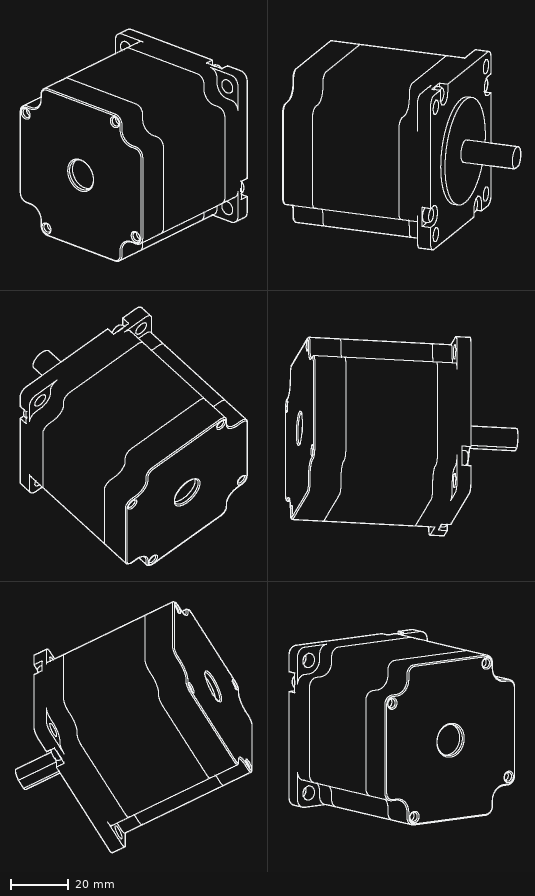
import cadquery as cq


total_length = 77.0
case_width = 57.0
case_length = 56.0
flange_thickness = 5.0
front_length = 11.9
rear_length = 11.5
flange_corner_radius = 3.1

shaft_diameter = 8.0
shaft_flat_depth = 0.5
pilot_diameter = 37.95
pilot_height = 1.6

mount_pitch = 47.1
mount_hole_diameter = 5.0

notch_radius = 4.8
lobe_radius = 3.1
rear_edge_chamfer = 0.5

recess_diameter = 11.1
recess_depth = 2.0
recess_chamfer = 0.5

screw_x = 15.9
screw_z = 25.6
screw_diameter = 3.15
screw_tip_recess = 2.3
head_base_radius = 2.6
head_bulge_radius = 2.8
head_top_radius = 2.3
head_height = 2.15
screw_hole_chamfer = 0.5
pocket_width = 7.0
pocket_depth = 3.15

half_width = case_width / 2
stack_length = case_length - front_length - rear_length
shaft_length = total_length - case_length
notch_center = mount_pitch / 2
notch_wall = notch_center - notch_radius


def turned(x, z, quarter):
    """Point (x, z) turned about the shaft axis by a number of quarter turns."""
    for _ in range(quarter):
        x, z = -z, x
    return x, z


screw_points = [turned(screw_x, screw_z, quarter) for quarter in range(4)]


def plane_at(depth):
    """Workplane at a depth behind the mounting face; extrusions run toward the rear."""
    return cq.Workplane("XZ", origin=(0, -depth, 0))


def case_block(depth, length):
    """Square block whose corners are notched around the mounting holes."""
    lobe_start = notch_wall - lobe_radius
    lobe_end = half_width - lobe_radius
    outline = plane_at(depth).moveTo(half_width, -lobe_start)
    for quarter in range(4):
        outline = (
            outline.lineTo(*turned(half_width, lobe_start, quarter))
            .tangentArcPoint(turned(lobe_end, notch_wall, quarter), relative=False)
            .lineTo(*turned(notch_center, notch_wall, quarter))
            .tangentArcPoint(turned(notch_wall, notch_center, quarter), relative=False)
            .lineTo(*turned(notch_wall, lobe_end, quarter))
            .tangentArcPoint(turned(lobe_start, half_width, quarter), relative=False)
        )
    return outline.close().extrude(length)


def screw_holes():
    """Four bores for the screw shanks, long enough to pass through the whole case."""
    return plane_at(0).pushPoints(screw_points).circle(screw_diameter / 2).extrude(case_length)


def head_pocket(quarter):
    """Round-ended pocket for a screw head, open to the side of the flange."""
    pocket_end = plane_at(0).center(screw_x, screw_z).circle(pocket_width / 2).extrude(pocket_depth)
    opening_length = half_width - screw_z
    opening = (
        plane_at(0)
        .center(screw_x, screw_z + opening_length / 2)
        .rect(pocket_width, opening_length)
        .extrude(pocket_depth)
    )
    return pocket_end.union(opening).rotate((0, 0, 0), (0, 1, 0), -90 * quarter)


def make_shaft():
    """Output shaft with a flat along its -Z side, from the pilot to the tip."""
    shaft = plane_at(0).circle(shaft_diameter / 2).extrude(-shaft_length)
    flat_cut = (
        plane_at(-pilot_height)
        .center(0, shaft_flat_depth - shaft_diameter)
        .rect(shaft_diameter, shaft_diameter)
        .extrude(pilot_height - shaft_length)
    )
    return shaft.cut(flat_cut)


def make_front_housing():
    flange = (
        plane_at(0)
        .rect(case_width, case_width)
        .extrude(flange_thickness)
        .edges("|Y")
        .fillet(flange_corner_radius)
    )
    mount_holes = (
        plane_at(0)
        .rect(mount_pitch, mount_pitch, forConstruction=True)
        .vertices()
        .circle(mount_hole_diameter / 2)
        .extrude(flange_thickness)
    )
    pilot = plane_at(0).circle(pilot_diameter / 2).extrude(-pilot_height)
    neck = case_block(flange_thickness, front_length - flange_thickness)
    housing = flange.cut(mount_holes).union(neck).union(pilot).union(make_shaft())
    for quarter in range(4):
        housing = housing.cut(head_pocket(quarter))
    return housing.cut(screw_holes())


def make_lamination_stack():
    return case_block(front_length, stack_length).cut(screw_holes())


def countersink(x, z, hole_diameter, size):
    """Cone that chamfers the mouth of a hole in the rear face."""
    mouth = cq.Vector(x, -case_length, z)
    hole_radius = hole_diameter / 2
    cone = cq.Solid.makeCone(hole_radius + size, hole_radius, size, mouth, cq.Vector(0, 1, 0))
    return cq.Workplane(cone)


def make_rear_cover():
    cover = (
        case_block(case_length - rear_length, rear_length)
        .faces("<Y")
        .chamfer(rear_edge_chamfer)
        .cut(screw_holes())
    )
    recess = plane_at(case_length).circle(recess_diameter / 2).extrude(-recess_depth)
    cover = cover.cut(recess)
    cover = cover.cut(countersink(0, 0, recess_diameter, recess_chamfer))
    for x, z in screw_points:
        cover = cover.cut(countersink(x, z, screw_diameter, screw_hole_chamfer))
    return cover


def make_screw(x, z):
    """Screw with a rounded head in its pocket and a shank ending short of the rear face."""
    head = (
        cq.Workplane("XY", origin=(x, -pocket_depth, z))
        .lineTo(head_base_radius, 0)
        .threePointArc((head_bulge_radius, head_height / 2), (head_top_radius, head_height))
        .lineTo(0, head_height)
        .close()
        .revolve(360, (0, 0, 0), (0, 1, 0))
    )
    shank_length = case_length - pocket_depth - screw_tip_recess
    shank = plane_at(pocket_depth).center(x, z).circle(screw_diameter / 2).extrude(shank_length)
    return head.union(shank)


front_housing = make_front_housing()
lamination_stack = make_lamination_stack()
rear_cover = make_rear_cover()
screws = [make_screw(x, z) for x, z in screw_points]

result = cq.Compound.makeCompound(
    [
        front_housing.val(),
        lamination_stack.val(),
        rear_cover.val(),
        *[screw.val() for screw in screws],
    ]
)